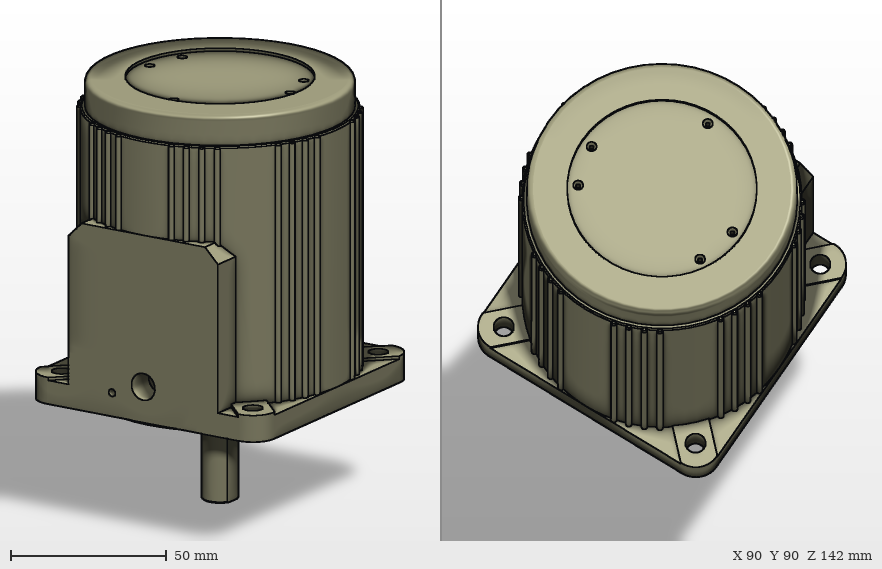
import cadquery as cq
import math


FLANGE_SIDE = 90.0
FLANGE_THICKNESS = 8.0
FLANGE_CORNER_RADIUS = 8.0
PAD_HEIGHT = 9.0
PAD_WIDTH = 12.0
MOUNT_CIRCLE_DIAMETER = 104.0
MOUNT_HOLE_DIAMETER = 6.5

PILOT_DIAMETER = 83.0
PILOT_HEIGHT = 2.0
PILOT_CHAMFER = 0.5
SHAFT_DIAMETER = 12.0
SHAFT_LENGTH = 37.0
SHAFT_CHAMFER = 0.5
SHAFT_FLAT_LENGTH = 30.0
SHAFT_ACROSS_FLAT = 11.0

HOUSING_DIAMETER = 90.0
HOUSING_TOP = 95.0
HOUSING_CHAMFER = 0.5
RIB_RADIUS = 1.0
RIB_CIRCLE_RADIUS = 45.1
FIRST_RIB_ANGLE = 13.0
RIB_PITCH_ANGLE = 6.4
RIBS_PER_GROUP = 4

CAP_DIAMETER = 87.0
CAP_TOP = 105.0
CAP_FILLET = 2.0
RECESS_DIAMETER = 61.0
RECESS_DEPTH = 1.0
SCREW_CIRCLE_RADIUS = 27.0
SCREW_ANGLES = (0, 30, 150, 180, 270)
SCREW_MOUTH_DIAMETER = 3.2
SCREW_HOLE_DIAMETER = 1.4
SCREW_HOLE_DEPTH = 4.0
COUNTERSINK_ANGLE = 90

BOX_WIDTH = 57.5
BOX_TOP = 63.0
BOX_CHAMFER = 5.0
CABLE_HOLE_DIAMETER = 9.0
CABLE_HOLE_Z = 12.0
CABLE_HOLE_DEPTH = 10.0
EARTH_HOLE_DIAMETER = 2.5
EARTH_HOLE_X = -12.0
EARTH_HOLE_Z = 8.0
EARTH_HOLE_DEPTH = 6.0


def disc(diameter, bottom, top):
    """Cylinder on the motor axis between two heights."""
    return cq.Workplane("XY").workplane(offset=bottom).circle(diameter / 2).extrude(top - bottom)


def points_on_circle(radius, angles):
    """Points at the given angles, in degrees from +X, on a circle about the motor axis."""
    points = []
    for angle in angles:
        radians = math.radians(angle)
        points.append((radius * math.cos(radians), radius * math.sin(radians)))
    return points


def rounded_square(height):
    """Flange outline standing on the mounting face."""
    square = cq.Workplane("XY").rect(FLANGE_SIDE, FLANGE_SIDE).extrude(height)
    return square.edges("|Z").fillet(FLANGE_CORNER_RADIUS)


def flange():
    """Square flange with a raised strip across each pair of opposite corners."""
    strip_length = FLANGE_SIDE * math.sqrt(2)
    strip = cq.Workplane("XY").rect(strip_length, PAD_WIDTH).extrude(PAD_HEIGHT)
    strips = strip.rotate((0, 0, 0), (0, 0, 1), 45).union(strip.rotate((0, 0, 0), (0, 0, 1), -45))
    pads = rounded_square(PAD_HEIGHT).intersect(strips)
    return rounded_square(FLANGE_THICKNESS).union(pads)


def mount_holes():
    """Through holes on the flange diagonals."""
    return (
        cq.Workplane("XY")
        .polarArray(MOUNT_CIRCLE_DIAMETER / 2, 45, 360, 4)
        .circle(MOUNT_HOLE_DIAMETER / 2)
        .extrude(PAD_HEIGHT)
    )


def housing():
    """Round housing with groups of ribs on both sides of each of the four axis directions."""
    rib_angles = []
    for axis_angle in (0, 90, 180, 270):
        for index in range(RIBS_PER_GROUP):
            offset = FIRST_RIB_ANGLE + index * RIB_PITCH_ANGLE
            rib_angles += [axis_angle + offset, axis_angle - offset]
    centres = points_on_circle(RIB_CIRCLE_RADIUS, rib_angles)
    ribs = cq.Workplane("XY").workplane(offset=FLANGE_THICKNESS).pushPoints(centres).circle(RIB_RADIUS)
    ribs = ribs.extrude(HOUSING_TOP - FLANGE_THICKNESS).faces(">Z").edges().chamfer(HOUSING_CHAMFER)
    barrel = disc(HOUSING_DIAMETER, 0, HOUSING_TOP).faces(">Z").edges().chamfer(HOUSING_CHAMFER)
    return barrel.union(ribs)


def terminal_box():
    """Box with bevelled top corners, flush with the -Y side of the flange."""
    box = (
        cq.Workplane("XY")
        .rect(BOX_WIDTH, FLANGE_SIDE / 2)
        .extrude(BOX_TOP)
        .translate((0, -FLANGE_SIDE / 4, 0))
    )
    return box.faces(">Z").edges("|Y").chamfer(BOX_CHAMFER)


def side_hole(x, z, diameter, depth):
    """Blind hole bored into the -Y side."""
    plane = cq.Workplane("XZ", origin=(0, -FLANGE_SIDE / 2, 0))
    return plane.center(x, z).circle(diameter / 2).extrude(-depth)


def end_cap():
    """Cap with rounded rim, shallow round recess and countersunk screw holes."""
    cap = disc(CAP_DIAMETER, HOUSING_TOP, CAP_TOP).faces(">Z").edges().fillet(CAP_FILLET)
    recess_floor = CAP_TOP - RECESS_DEPTH
    cap = cap.cut(disc(RECESS_DIAMETER, recess_floor, CAP_TOP))
    centres = points_on_circle(SCREW_CIRCLE_RADIUS, SCREW_ANGLES)
    return (
        cap.copyWorkplane(cq.Workplane("XY", origin=(0, 0, recess_floor)))
        .pushPoints(centres)
        .cskHole(SCREW_HOLE_DIAMETER, SCREW_MOUTH_DIAMETER, COUNTERSINK_ANGLE, SCREW_HOLE_DEPTH)
    )


def shaft():
    """Output shaft with a flat on its +X side."""
    rod = disc(SHAFT_DIAMETER, -SHAFT_LENGTH, 0).faces("<Z").edges().chamfer(SHAFT_CHAMFER)
    flat_x = SHAFT_ACROSS_FLAT - SHAFT_DIAMETER / 2
    flat = (
        cq.Workplane("XY", origin=(flat_x, 0, -SHAFT_LENGTH))
        .rect(SHAFT_DIAMETER, SHAFT_DIAMETER)
        .extrude(SHAFT_FLAT_LENGTH)
        .translate((SHAFT_DIAMETER / 2, 0, 0))
    )
    return rod.cut(flat)


pilot = disc(PILOT_DIAMETER, -PILOT_HEIGHT, 0).faces("<Z").edges().chamfer(PILOT_CHAMFER)
motor = flange().union(housing()).union(terminal_box()).union(end_cap()).union(pilot).union(shaft())
motor = motor.cut(mount_holes())
motor = motor.cut(side_hole(0, CABLE_HOLE_Z, CABLE_HOLE_DIAMETER, CABLE_HOLE_DEPTH))
result = motor.cut(side_hole(EARTH_HOLE_X, EARTH_HOLE_Z, EARTH_HOLE_DIAMETER, EARTH_HOLE_DEPTH))